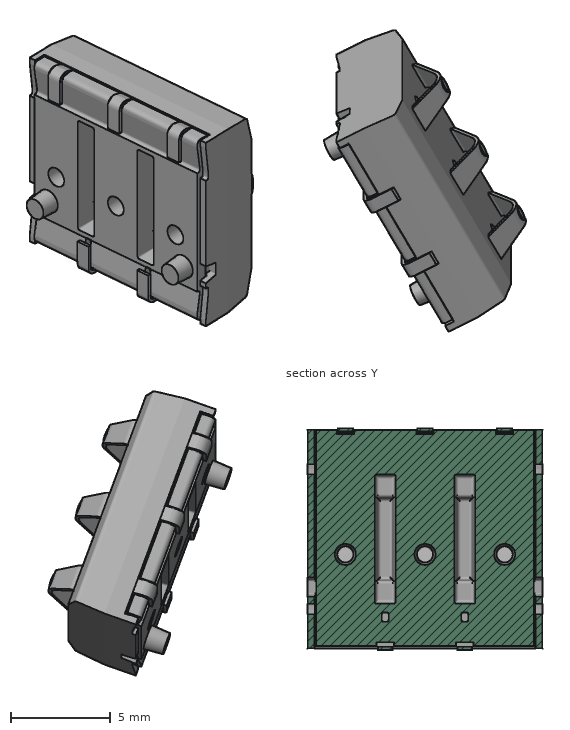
import cadquery as cq
import math

width = 11.82
overall_height = 11.15
body_height = 10.99
rear_y = 2.01
rear_width = 11.47
rear_shoulder_y = 1.61
rear_shoulder_height = 10.66
rear_flat_height = 7.66
shoulder_radius = 0.24

plate_front_y = -1.67
plate_step_y = -1.47
plate_slant_z = 5.19
plate_step_outer_z = 3.52
plate_step_inner_z = 3.23
step_radius = 0.12

notch_z = -2.41
notch_floor_y = -0.9
notch_mouth_height = 1.02
notch_floor_height = 0.71
notch_radius = 0.08
notch_inner_x = 5.44

recess_width = 11.09
recess_floor_y = -1.17
top_recess_y = -0.96
top_recess_z = 5.32

insert_width = 10.92
insert_front_y = -1.81
insert_rear_y = -1.05
insert_top_z = 5.47
insert_bottom_z = -5.37
insert_top_radius = 0.25
insert_bottom_radius = 0.32
lip_top_z = 5.07
lip_bottom_z = -4.86
relief_y = -1.58
relief_z = 3.55
relief_radius = 0.15

pitch = 4.0
contact_xs = (-pitch, 0, pitch)
between_xs = (-pitch / 2, pitch / 2)

pocket_width = 1.09
pocket_height = 6.52
pocket_depth = 1.18
deep_pocket_height = 4.43
deep_pocket_depth = 2.36
pocket_draft = 5.0
pocket_floor_radius = 0.14
pocket_corner_radius = 0.12

hole_z = -0.77
hole_front_diameter = 1.06
hole_rear_diameter = 0.8

peg_x = 4.53
peg_z = -2.42
peg_end_y = -2.81
peg_base_diameter = 1.28
peg_end_diameter = 1.13

clip_thickness = 0.18
clip_end_z = 3.81
clip_peak_z = overall_height / 2
clip_bend_radius = 0.45
top_clip_width = 0.78
top_clip_front_y = -1.99
top_clip_root_y = -0.71
top_clip_drop = 0.21
bottom_clip_width = 0.75
bottom_clip_front_y = -2.03
bottom_clip_root_y = -0.28
bottom_clip_drop = 0.1
clip_ramp_top_y = -1.41
clip_ramp_bottom_y = -0.44
clip_slot_width = 0.86
top_slot_floor_z = 5.28
bottom_slot_floor_z = -5.18

socket_width = 0.33
socket_top_z = -3.69
socket_bottom_z = -4.14
socket_floor_y = -1.3
socket_radius = 0.07

spring_thickness = 0.19
spring_vertex_y = 3.78
spring_vertex_z = -0.1
spring_apex_radius = 1.6
spring_bend_y = 2.21
spring_bend_z = 2.72
spring_bend_radius = 0.47
spring_foot_y = 1.18
spring_foot_z = -4.14
spring_root_y = 1.89
spring_root_width = 1.37
spring_tip_width = 1.04
spring_taper_end_y = 3.31
dome_diameter = 0.83
dome_height = 0.06
apex_y = 3.58


def box(x_size, y_min, y_max, z_min, z_max, x=0):
    """Block centred on x, between the given y and z limits."""
    block = cq.Workplane("XY").box(x_size, y_max - y_min, z_max - z_min, centered=(True, False, False))
    return block.translate((x, y_min, z_min))


def cone(x, z, y_start, diameter_start, y_end, diameter_end):
    """Round taper along y."""
    length = abs(y_end - y_start)
    direction = cq.Vector(0, math.copysign(1, y_end - y_start), 0)
    solid = cq.Solid.makeCone(
        diameter_start / 2, diameter_end / 2, length, cq.Vector(x, y_start, z), direction
    )
    return cq.Workplane(obj=solid)


def extrude_yz(points, x_size):
    """Prism with a (y, z) outline, centred on x = 0."""
    return cq.Workplane("YZ").polyline(points).close().extrude(x_size / 2, both=True)


def make_housing():
    half = body_height / 2
    upper = [
        (plate_step_y, plate_step_outer_z),
        (plate_front_y, plate_slant_z),
        (plate_front_y, half),
        (0, half),
        (rear_shoulder_y, rear_shoulder_height / 2),
        (rear_y, rear_flat_height / 2),
    ]
    steps = [(plate_front_y, plate_step_inner_z), (plate_step_y, plate_step_inner_z)]
    top_half = steps + upper
    bottom_half = [(y, -z) for y, z in reversed(top_half)]
    body = extrude_yz(top_half + bottom_half, width)
    for sign in (-1, 1):
        shoulder = cq.selectors.NearestToPointSelector((0, rear_shoulder_y, sign * rear_shoulder_height / 2))
        body = body.edges("|X").edges(shoulder).fillet(shoulder_radius)
        step = cq.selectors.NearestToPointSelector((0, plate_step_y, sign * plate_step_inner_z))
        body = body.edges("|X").edges(step).fillet(step_radius)

    footprint = [
        (-width / 2, plate_front_y),
        (width / 2, plate_front_y),
        (width / 2, 0),
        (rear_width / 2, rear_y),
        (-rear_width / 2, rear_y),
        (-width / 2, 0),
    ]
    body = body.intersect(cq.Workplane("XY").polyline(footprint).close().extrude(half, both=True))

    body = body.cut(box(recess_width, plate_front_y, recess_floor_y, -half, half))
    body = body.cut(box(recess_width, plate_front_y, top_recess_y, top_recess_z, half))

    notch = [
        (plate_front_y, notch_z - notch_mouth_height / 2),
        (notch_floor_y, notch_z - notch_floor_height / 2),
        (notch_floor_y, notch_z + notch_floor_height / 2),
        (plate_front_y, notch_z + notch_mouth_height / 2),
    ]
    reach = 2 * notch_radius
    side_block = cq.Workplane("YZ", origin=(notch_inner_x, 0, 0)).polyline(notch).close()
    cutter = side_block.extrude(width / 2 - notch_inner_x + reach).faces(">Y").edges().fillet(notch_radius)
    return body.cut(cutter).cut(cutter.mirror("YZ"))


def make_insert():
    outline = [
        (recess_floor_y, insert_bottom_z),
        (insert_front_y, insert_bottom_z),
        (insert_front_y, lip_bottom_z),
        (relief_y, -relief_z),
        (insert_front_y, -relief_z),
        (insert_front_y, relief_z),
        (relief_y, relief_z),
        (insert_front_y, lip_top_z),
        (insert_front_y, insert_top_z),
        (insert_rear_y, insert_top_z),
        (insert_rear_y, top_recess_z),
        (recess_floor_y, top_recess_z),
    ]
    insert = extrude_yz(outline, insert_width)
    rounded_corners = (
        (insert_front_y, insert_top_z, insert_top_radius),
        (insert_front_y, insert_bottom_z, insert_bottom_radius),
        (relief_y, relief_z, relief_radius),
        (relief_y, -relief_z, relief_radius),
    )
    for y, z, radius in rounded_corners:
        corner = cq.selectors.NearestToPointSelector((0, y, z))
        insert = insert.edges("|X").edges(corner).fillet(radius)
    for x in contact_xs:
        insert = insert.cut(
            box(clip_slot_width, insert_front_y, insert_rear_y, top_slot_floor_z, insert_top_z, x)
        )
    for x in between_xs:
        insert = insert.cut(
            box(clip_slot_width, insert_front_y, recess_floor_y, insert_bottom_z, bottom_slot_floor_z, x)
        )
        socket = box(socket_width, insert_front_y, socket_floor_y, socket_bottom_z, socket_top_z, x)
        insert = insert.cut(socket.edges("|Y").fillet(socket_radius))
    return insert


def drafted_pocket(height, depth):
    """Tapered cutter from the insert face towards +y, with a rounded floor."""
    return (
        cq.Workplane("XZ", origin=(0, insert_front_y, 0))
        .sketch()
        .rect(pocket_width, height)
        .vertices()
        .fillet(pocket_corner_radius)
        .finalize()
        .extrude(-depth, taper=pocket_draft)
        .faces(">Y")
        .edges()
        .fillet(pocket_floor_radius)
    )


def make_pocket():
    """Long pocket with a deeper middle stretch; the ledges at both ends have a rounded edge."""
    pocket = drafted_pocket(pocket_height, pocket_depth)
    pocket = pocket.union(drafted_pocket(deep_pocket_height, deep_pocket_depth))
    ledge_y = insert_front_y + pocket_depth
    for sign in (-1, 1):
        ledge = cq.selectors.NearestToPointSelector((0, ledge_y, sign * deep_pocket_height / 2))
        pocket = pocket.edges("|X").edges(ledge).fillet(pocket_floor_radius)
    return pocket


def make_clip(front_y, root_y, ramp_y, drop, clip_width):
    """Bent strip over the top edge; it ramps up by drop from its root."""
    bend_y = front_y + clip_bend_radius
    bend_z = clip_peak_z - clip_bend_radius
    inner_radius = clip_bend_radius - clip_thickness
    diagonal = math.sqrt(0.5)
    outer_mid = (bend_y - clip_bend_radius * diagonal, bend_z + clip_bend_radius * diagonal)
    inner_mid = (bend_y - inner_radius * diagonal, bend_z + inner_radius * diagonal)
    under_z = clip_peak_z - clip_thickness
    return (
        cq.Workplane("YZ")
        .moveTo(root_y, clip_peak_z - drop)
        .lineTo(ramp_y, clip_peak_z)
        .lineTo(bend_y, clip_peak_z)
        .threePointArc(outer_mid, (front_y, bend_z))
        .lineTo(front_y, clip_end_z)
        .lineTo(front_y + clip_thickness, clip_end_z)
        .lineTo(front_y + clip_thickness, bend_z)
        .threePointArc(inner_mid, (bend_y, under_z))
        .lineTo(ramp_y, under_z)
        .lineTo(root_y, under_z - drop)
        .close()
        .extrude(clip_width / 2, both=True)
    )


def make_spring():
    """Bent leaf with two legs entering the rear face and a contact dome at its peak."""
    bend = (spring_bend_y, spring_bend_z)
    vertex = (spring_vertex_y, spring_vertex_z)
    outline = [(spring_foot_y, spring_bend_z), bend, vertex, (spring_foot_y, spring_foot_z)]
    outer = extrude_yz(outline, spring_root_width)
    for (y, z), radius in ((bend, spring_bend_radius), (vertex, spring_apex_radius)):
        corner = cq.selectors.NearestToPointSelector((0, y, z))
        outer = outer.edges("|X").edges(corner).fillet(radius)
    inner = (
        outer.faces(">X").wires().toPending()
        .workplane().offset2D(-spring_thickness).extrude(-spring_root_width, combine=False)
    )
    leaf = outer.cut(inner)
    footprint = [
        (-spring_root_width / 2, spring_root_y),
        (spring_root_width / 2, spring_root_y),
        (spring_root_width / 2, rear_y),
        (spring_tip_width / 2, spring_taper_end_y),
        (spring_tip_width / 2, apex_y),
        (-spring_tip_width / 2, apex_y),
        (-spring_tip_width / 2, spring_taper_end_y),
        (-spring_root_width / 2, rear_y),
    ]
    leaf = leaf.intersect(cq.Workplane("XY").polyline(footprint).close().extrude(body_height / 2, both=True))

    dome_radius = (dome_diameter**2 / 4 + dome_height**2) / (2 * dome_height)
    ball = cq.Workplane("XY").sphere(dome_radius).translate((0, apex_y - dome_radius, spring_vertex_z))
    cap_y = apex_y - dome_height - spring_thickness / 2
    post = (
        cq.Workplane("XZ", origin=(0, cap_y, spring_vertex_z))
        .circle(dome_diameter / 2)
        .extrude(cap_y - apex_y)
    )
    return leaf.union(ball.intersect(post))


part = make_housing().union(make_insert())

pocket = make_pocket()
for pocket_x in between_xs:
    part = part.cut(pocket.translate((pocket_x, 0, 0)))

for contact_x in contact_xs:
    part = part.cut(cone(contact_x, hole_z, insert_front_y, hole_front_diameter, rear_y, hole_rear_diameter))

for side in (-1, 1):
    part = part.union(
        cone(side * peg_x, peg_z, insert_front_y, peg_base_diameter, peg_end_y, peg_end_diameter)
    )

top_clip = make_clip(top_clip_front_y, top_clip_root_y, clip_ramp_top_y, top_clip_drop, top_clip_width)
spring = make_spring()
for contact_x in contact_xs:
    part = part.union(top_clip.translate((contact_x, 0, 0)))
    part = part.union(spring.translate((contact_x, 0, 0)))

bottom_clip = make_clip(
    bottom_clip_front_y, bottom_clip_root_y, clip_ramp_bottom_y, bottom_clip_drop, bottom_clip_width
).mirror("XY")
for clip_x in between_xs:
    part = part.union(bottom_clip.translate((clip_x, 0, 0)))

result = part